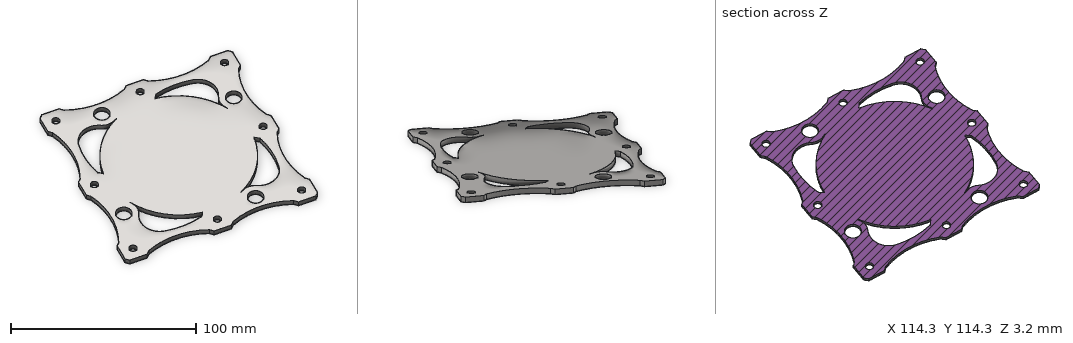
import cadquery as cq
import math

side = 114.3
thickness = 3.2
half = side / 2

mount_diameter = 4.3
mount_offset = 50.1

pad_half_width = 5.1
pad_chamfer = 2.0
scallop_depth = 5.7
corner_chamfer = half - mount_offset - pad_half_width

large_diameter = 8.9
large_center = (-25.4, 44.2)

disc_radius = 42.6
lobe_center = (-34.7, 27.1)
lobe_radius = 11.4
outer_center = (0.2, 20.3)
slot_start_y = 5.1
slot_end_x = -19.7
tip_bevel_y = 7.1
tail_gap = 0.14


def along(start, toward, distance):
    """Point at a distance from start on the line toward another point."""
    span = math.dist(start, toward)
    return tuple(a + (b - a) * distance / span for a, b in zip(start, toward))


def arc_middle(center, start, end):
    """Middle of the shorter arc between two points about a center."""
    chord_middle = tuple((a + b) / 2 for a, b in zip(start, end))
    return along(center, chord_middle, math.dist(center, start))


def quarter_turns(body):
    """Copies of a body at the four quarter turns about Z."""
    return [body.rotate((0, 0, 0), (0, 0, 1), 90 * turn) for turn in range(4)]


def scallop(center_x):
    """Cutter for one scallop in the +Y edge, with chamfered ends."""
    mouth = mount_offset / 2 - pad_half_width
    arc_half_width = mouth - pad_chamfer
    return (
        cq.Workplane("XY")
        .moveTo(center_x - mouth, half)
        .lineTo(center_x - arc_half_width, half - pad_chamfer)
        .threePointArc(
            (center_x, half - scallop_depth),
            (center_x + arc_half_width, half - pad_chamfer),
        )
        .lineTo(center_x + mouth, half)
        .close()
        .extrude(thickness)
    )


def curved_slot():
    """Cutter for the crescent slot in the -X, +Y quadrant."""
    origin = (0, 0)
    center_distance = math.dist(outer_center, lobe_center)
    outer_radius = center_distance + lobe_radius
    land_radius = math.hypot(*large_center) - disc_radius - tail_gap

    point = (-math.sqrt(disc_radius**2 - slot_start_y**2), slot_start_y)
    tail = (slot_end_x, math.sqrt(disc_radius**2 - slot_end_x**2))
    outer_drop = tip_bevel_y - outer_center[1]
    bevel = (outer_center[0] - math.sqrt(outer_radius**2 - outer_drop**2), tip_bevel_y)
    outer_to_lobe = along(outer_center, lobe_center, outer_radius)
    lobe_to_land = along(large_center, lobe_center, land_radius)
    land_end = along(large_center, origin, land_radius)
    lobe_top = (lobe_center[0], lobe_center[1] + lobe_radius)

    return (
        cq.Workplane("XY")
        .moveTo(*point)
        .lineTo(*bevel)
        .threePointArc(arc_middle(outer_center, bevel, outer_to_lobe), outer_to_lobe)
        .threePointArc(lobe_top, lobe_to_land)
        .threePointArc(arc_middle(large_center, lobe_to_land, land_end), land_end)
        .lineTo(*tail)
        .threePointArc(arc_middle(origin, tail, point), point)
        .close()
        .extrude(thickness)
    )


plate = (
    cq.Workplane("XY")
    .rect(side, side)
    .extrude(thickness)
    .edges("|Z")
    .chamfer(corner_chamfer)
)

mount_steps = (-mount_offset, 0, mount_offset)
mount_points = [(x, y) for x in mount_steps for y in mount_steps if (x, y) != (0, 0)]
mount_holes = cq.Workplane("XY").pushPoints(mount_points).circle(mount_diameter / 2).extrude(thickness)

large_hole = cq.Workplane("XY").center(*large_center).circle(large_diameter / 2).extrude(thickness)

result = plate.cut(mount_holes)
edge_cutters = [scallop(-mount_offset / 2), scallop(mount_offset / 2)]
for cutter in edge_cutters + [large_hole, curved_slot()]:
    for copy in quarter_turns(cutter):
        result = result.cut(copy)